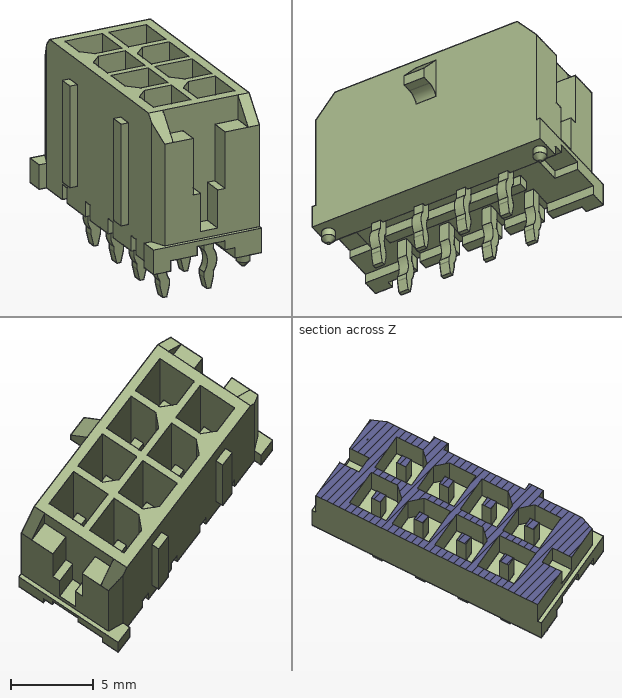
import cadquery as cq


overall_length = 16.15
body_length = 15.63
body_depth = 6.88
body_height = 9.92
half_length = body_length / 2
back_y = body_depth / 2
front_y = -body_depth / 2
top_length = 12.92
shoulder_z = 8.3
corner_chamfer_x = 0.95
corner_chamfer_y = 0.4

flange_height = 1.62
front_projection = 0.5
lug_length = 1.21
flange_half_length = overall_length / 2

recess_x = top_length / 2
cheek_back_y = 2.66
cheek_front_y = -2.45
end_slot_width = 2.18
end_slot_step_z = 4.59
narrow_slot_width = 1.16
end_slot_floor_z = 2.08

pitch = 3.0
column_count = 4
row_offset = 0.03
column_xs = [(i - (column_count - 1) / 2) * pitch for i in range(column_count)]
front_row_y = row_offset - pitch / 2
back_row_y = row_offset + pitch / 2

cell_size = 2.55
cell_chamfer = 0.71
cell_floor_z = flange_height
contact_size = 0.65
contact_tip_z = 6.46

channel_back_y = 1.62
channel_front_y = -2.76
channel_height = 0.68
rib_width = 0.68
rib_half_length = column_xs[-1] + contact_size / 2
window_width = 1.89
window_top_z = 1.26
front_slot_width = 0.6
front_slot_height = 1.0

tail_bend_start_z = -0.63
tail_bend_end_z = -2.07
tail_bulge = 0.23
tail_taper_z = -2.4
tail_tip_z = -3.18
tail_tip_width = 0.27

key_width = 1.0
key_spacing = 6.69

latch_width = 1.4
latch_projection = 1.39
latch_top_z = 9.35
latch_tip_top_z = 7.74
latch_under_z = 7.01
latch_root_z = 6.5
latch_arc_reach = 0.76

peg_diameter = 0.85
peg_x = 7.5
peg_y = 2.49
peg_shoulder_z = -0.5
peg_tip_z = -0.85
peg_tip_diameter = 0.23


def box(x0, x1, y0, y1, z0, z1):
    """Box between the given limits on each axis."""
    return cq.Workplane("XY").box(x1 - x0, y1 - y0, z1 - z0, centered=False).translate((x0, y0, z0))


def mirrored_in_x(solid):
    """The solid together with its copy on the other side of the YZ plane."""
    return solid.union(solid.mirror("YZ"))


def housing_body():
    plan = (
        cq.Workplane("XY")
        .polyline([
            (-half_length, back_y),
            (half_length, back_y),
            (half_length, front_y + corner_chamfer_y),
            (half_length - corner_chamfer_x, front_y),
            (-half_length + corner_chamfer_x, front_y),
            (-half_length, front_y + corner_chamfer_y),
        ])
        .close()
        .extrude(body_height)
    )
    shoulders = (
        cq.Workplane("XZ")
        .polyline([
            (-half_length, 0),
            (half_length, 0),
            (half_length, shoulder_z),
            (recess_x, body_height),
            (-recess_x, body_height),
            (-half_length, shoulder_z),
        ])
        .close()
        .extrude(body_depth / 2, both=True)
    )
    return plan.intersect(shoulders)


def flange():
    lug_front_y = front_y - front_projection
    plate = box(half_length, flange_half_length, lug_front_y, back_y, 0, flange_height)
    lug = box(
        flange_half_length - lug_length, flange_half_length,
        lug_front_y, front_y + corner_chamfer_y, 0, flange_height,
    )
    return mirrored_in_x(plate.union(lug))


def end_recess():
    top_pocket = box(recess_x, flange_half_length, cheek_front_y, cheek_back_y, shoulder_z, body_height)

    def centred_slot(width, floor_z):
        return box(recess_x, flange_half_length, -width / 2, width / 2, floor_z, body_height)

    wide_slot = centred_slot(end_slot_width, end_slot_step_z)
    narrow_slot = centred_slot(narrow_slot_width, end_slot_floor_z)
    return mirrored_in_x(top_pocket.union(wide_slot).union(narrow_slot))


def underside_channel():
    channel = box(
        -flange_half_length, flange_half_length,
        channel_front_y, channel_back_y, 0, channel_height,
    )
    window = box(
        recess_x, flange_half_length,
        -window_width / 2, window_width / 2, 0, window_top_z,
    )
    rib = box(
        -rib_half_length, rib_half_length,
        row_offset - rib_width / 2, row_offset + rib_width / 2, 0, channel_height,
    )
    return channel.cut(rib).union(mirrored_in_x(window))


def front_slot(x):
    return box(
        x - front_slot_width / 2, x + front_slot_width / 2,
        front_y, front_row_y, 0, front_slot_height,
    )


def cell(x, y, chamfer_side):
    """Square cell; chamfer_side is -1 or 1 for a cut front corner on that X side, 0 for none."""
    pocket = box(
        x - cell_size / 2, x + cell_size / 2,
        y - cell_size / 2, y + cell_size / 2, cell_floor_z, body_height,
    )
    if chamfer_side == 0:
        return pocket
    corner_edge = "|Z and <Y and >X" if chamfer_side > 0 else "|Z and <Y and <X"
    return pocket.edges(corner_edge).chamfer(cell_chamfer)


def contact(x, y, bulge_side):
    """Contact post and solder tail; the tail bulges towards bulge_side along Y."""
    half = contact_size / 2
    post = box(x - half, x + half, y - half, y + half, channel_height, contact_tip_z)
    bend_middle_z = (tail_bend_start_z + tail_bend_end_z) / 2
    bulge = bulge_side * tail_bulge
    tail = (
        cq.Workplane("YZ")
        .moveTo(y - half, front_slot_height)
        .lineTo(y - half, tail_bend_start_z)
        .threePointArc((y - half + bulge, bend_middle_z), (y - half, tail_bend_end_z))
        .lineTo(y - half, tail_taper_z)
        .lineTo(y - tail_tip_width / 2, tail_tip_z)
        .lineTo(y + tail_tip_width / 2, tail_tip_z)
        .lineTo(y + half, tail_taper_z)
        .lineTo(y + half, tail_bend_end_z)
        .threePointArc((y + half + bulge, bend_middle_z), (y + half, tail_bend_start_z))
        .lineTo(y + half, front_slot_height)
        .close()
        .extrude(half, both=True)
        .translate((x, 0, 0))
    )
    return post.union(tail)


def key_rib():
    middle_x = key_spacing / 2
    return mirrored_in_x(box(
        middle_x - key_width / 2, middle_x + key_width / 2,
        front_y - front_projection, front_y, flange_height, shoulder_z,
    ))


def latch():
    tip_y = back_y + latch_projection
    return (
        cq.Workplane("YZ")
        .moveTo(back_y, latch_top_z)
        .lineTo(tip_y, latch_tip_top_z)
        .lineTo(tip_y, latch_under_z)
        .lineTo(back_y + latch_arc_reach, latch_under_z)
        .tangentArcPoint((back_y, latch_root_z), relative=False)
        .close()
        .extrude(latch_width / 2, both=True)
    )


def locating_peg():
    radius = peg_diameter / 2
    tip_radius = peg_tip_diameter / 2
    peg = (
        cq.Workplane("XZ")
        .polyline([
            (0, 0),
            (radius, 0),
            (radius, peg_shoulder_z),
            (tip_radius, peg_tip_z),
            (0, peg_tip_z),
        ])
        .close()
        .revolve(360, (0, 0), (0, 1))
    )
    return mirrored_in_x(peg.translate((peg_x, peg_y, 0)))


rows = [
    (front_row_y, -1, (1, -1, 1, -1)),
    (back_row_y, 1, (0, -1, 1, -1)),
]

result = housing_body().union(flange())
result = result.cut(end_recess()).cut(underside_channel())
for x in column_xs:
    result = result.cut(front_slot(x))
for row_y, bulge_side, chamfer_sides in rows:
    for x, chamfer_side in zip(column_xs, chamfer_sides):
        result = result.cut(cell(x, row_y, chamfer_side)).union(contact(x, row_y, bulge_side))
result = result.union(key_rib()).union(latch()).union(locating_peg())